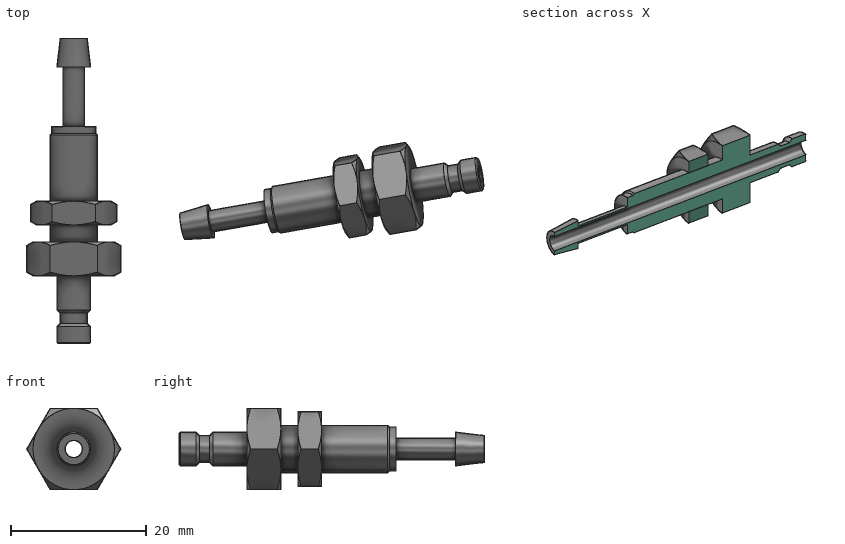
import cadquery as cq
import math


hex_flats = 12.0
hex_length = 5.0
nut_flats = 11.0
nut_length = 3.5
nut_gap = 2.5
corner_bevel_angle = 30.0

plug_diameter = 5.0
plug_length = 10.0
plug_edge_chamfer = 0.2
groove_diameter = 4.0
groove_front = 2.5
groove_width = 2.5

sleeve_diameter = 7.0
sleeve_end = 21.0
collar_diameter = 6.5
collar_end = 22.0

stem_diameter = 3.2
barb_root_diameter = 5.0
barb_tip_diameter = 4.0
barb_length = 4.25
fitting_length = 45.0

bore_diameter = 2.5


def revolve_about_y(profile):
    """Turn a closed (radius, Y) profile about the Y axis."""
    return cq.Workplane("XY").polyline(profile).close().revolve(360, (0, 0, 0), (0, 1, 0))


def beveled_hexagon(across_flats, length, front):
    """Hexagonal prism along Y, with corners on the X axis and conical bevels on both ends."""
    flat_radius = across_flats / 2
    corner_radius = flat_radius / math.cos(math.pi / 6)
    bevel_depth = (corner_radius - flat_radius) * math.tan(math.radians(corner_bevel_angle))
    back = front + length
    prism = (
        cq.Workplane("XZ", origin=(0, front, 0))
        .polygon(6, 2 * corner_radius)
        .extrude(-length)
    )
    bevel_envelope = revolve_about_y([
        (0, front),
        (flat_radius, front),
        (corner_radius, front + bevel_depth),
        (corner_radius, back - bevel_depth),
        (flat_radius, back),
        (0, back),
    ])
    return prism.intersect(bevel_envelope)


def cylinder_along_y(diameter, front, back):
    return cq.Workplane("XZ", origin=(0, front, 0)).circle(diameter / 2).extrude(front - back)


def make_turned_body():
    """Plug, sleeve, collar, stem and barb as one turned profile."""
    plug_tip = -plug_length
    barb_tip = plug_tip + fitting_length
    barb_root = barb_tip - barb_length
    plug_radius = plug_diameter / 2
    groove_radius = groove_diameter / 2
    groove_slope = plug_radius - groove_radius
    groove_start = plug_tip + groove_front
    groove_end = groove_start + groove_width
    sleeve_radius = sleeve_diameter / 2
    collar_radius = collar_diameter / 2
    sleeve_chamfer = sleeve_radius - collar_radius
    return revolve_about_y([
        (0, plug_tip),
        (plug_radius - plug_edge_chamfer, plug_tip),
        (plug_radius, plug_tip + plug_edge_chamfer),
        (plug_radius, groove_start),
        (groove_radius, groove_start + groove_slope),
        (groove_radius, groove_end - groove_slope),
        (plug_radius, groove_end),
        (plug_radius, 0),
        (sleeve_radius, 0),
        (sleeve_radius, sleeve_end - sleeve_chamfer),
        (collar_radius, sleeve_end),
        (collar_radius, collar_end),
        (stem_diameter / 2, collar_end),
        (stem_diameter / 2, barb_root),
        (barb_root_diameter / 2, barb_root),
        (barb_tip_diameter / 2, barb_tip),
        (0, barb_tip),
    ])


def make_fitting():
    """Turned body with its fixed hexagon, bored through from end to end."""
    bore = cylinder_along_y(bore_diameter, -plug_length, fitting_length - plug_length)
    return make_turned_body().union(beveled_hexagon(hex_flats, hex_length, 0)).cut(bore)


def make_lock_nut():
    """Hexagonal nut whose hole fits the sleeve."""
    nut_front = hex_length + nut_gap
    hole = cylinder_along_y(sleeve_diameter, nut_front, nut_front + nut_length)
    return beveled_hexagon(nut_flats, nut_length, nut_front).cut(hole)


fitting = make_fitting()
lock_nut = make_lock_nut()

result = cq.Compound.makeCompound([fitting.val(), lock_nut.val()])